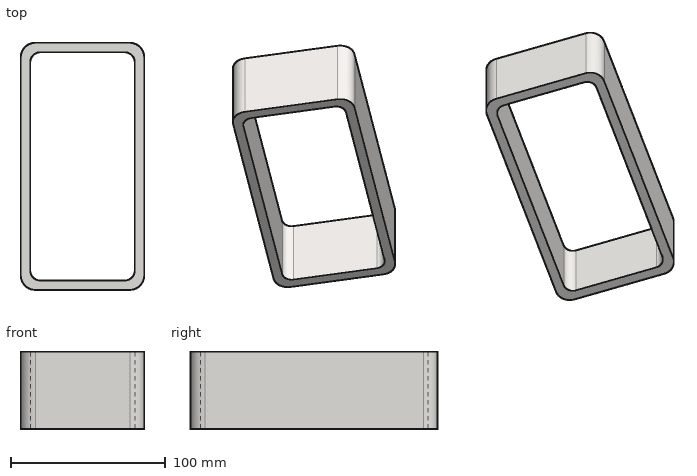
import cadquery as cq

width = 80.0
depth = 160.0
height = 50.0
wall = 6.3

outer_radius = 1.5 * wall
inner_radius = wall


def rounded_block(size_x, size_y, corner_radius):
    """Full-height block with its four vertical edges rounded."""
    block = cq.Workplane("XY").box(size_x, size_y, height)
    return block.edges("|Z").fillet(corner_radius)


outer_block = rounded_block(width, depth, outer_radius)
bore = rounded_block(width - 2 * wall, depth - 2 * wall, inner_radius)

result = outer_block.cut(bore)